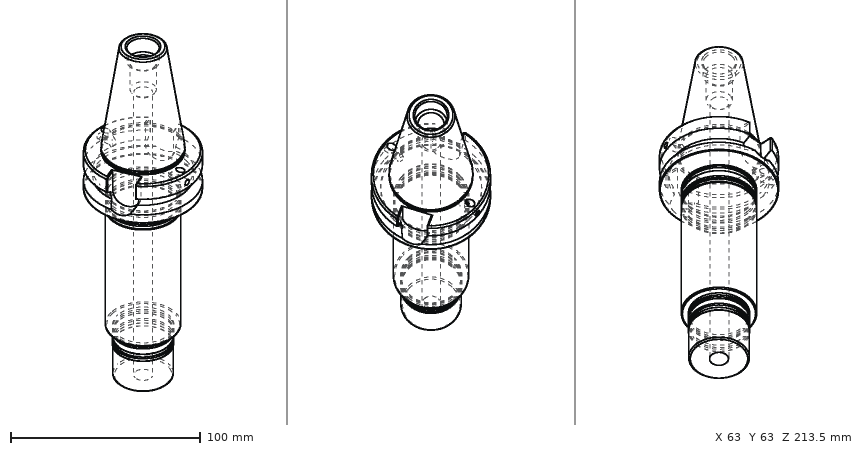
import cadquery as cq
import math

TOTAL_LENGTH = 213.5
GAUGE_Z = 148.0
FLANGE_TOP_Z = 146.0
FLANGE_BOTTOM_Z = 121.0
BODY_BOTTOM_Z = 32.5
SLEEVE_BOTTOM_Z = 20.3

TAPER_RATIO = 7 / 24
GAUGE_RADIUS = 44.4 / 2
TAPER_TOP_CHAMFER = 1.0
NECK_GROOVE_DEPTH = 0.6

FLANGE_RADIUS = 63.0 / 2
UPPER_RIM_CHAMFER = 1.0
LOWER_RIM_CHAMFER = 0.5
GROOVE_ROOT_RADIUS = 26.7
GROOVE_TOP_Z = 136.5
GROOVE_ROOT_TOP_Z = 133.5
GROOVE_ROOT_BOTTOM_Z = 129.3
GROOVE_BOTTOM_Z = 126.5

SLOT_ANGLES = (0.0, 180.0)
SLOT_WIDTH = 16.0
SLOT_FLOOR = 22.6
SLOT_EDGE_CHAMFER = 0.6
SLOT_BOTTOM_Z = 124.6

BODY_RADIUS = 40.0 / 2
BODY_CHAMFER = 0.6
SLEEVE_RADIUS = 32.5 / 2
NOSE_RADIUS = 32.0 / 2
NOSE_CHAMFER = 0.9

BODY_GROOVES = [(120.1, 116.7, 0.6), (113.0, 110.8, 0.6), (109.0, 108.5, 0.2)]
SLEEVE_GROOVES = [(31.0, 28.4, 0.6), (25.0, 22.0, 0.6)]

THROUGH_RADIUS = 10.0 / 2
THREAD_RADIUS = 13.9 / 2
THREAD_DEPTH = 27.7
COUNTERBORE_RADIUS = 17.0 / 2
COUNTERBORE_DEPTH = 9.5
THREAD_LEAD_IN = 0.9
MOUTH_RADIUS = 18.8 / 2

PORT_ANGLES = (160.0, -20.0)
PORT_DIAMETER = 3.8
PORT_CIRCLE_RADIUS = 26.7
PORT_TILT = 42.0
PORT_LENGTH = 9.0
PORT_OVERSHOOT = 2.1
CROSS_HOLE_DIAMETER = 3.2
CROSS_HOLE_Z = 140.2


def revolve_profile(points):
    """Revolve a closed (radius, z) outline around the Z axis."""
    return cq.Workplane("XZ").polyline(points).close().revolve(360, (0, 0), (0, 1))


def make_blank():
    taper_top_radius = GAUGE_RADIUS - (TOTAL_LENGTH - GAUGE_Z) * TAPER_RATIO / 2
    return revolve_profile([
        (0, 0),
        (NOSE_RADIUS - NOSE_CHAMFER, 0),
        (NOSE_RADIUS, NOSE_CHAMFER),
        (NOSE_RADIUS, SLEEVE_BOTTOM_Z),
        (SLEEVE_RADIUS, SLEEVE_BOTTOM_Z),
        (SLEEVE_RADIUS, BODY_BOTTOM_Z),
        (BODY_RADIUS - BODY_CHAMFER, BODY_BOTTOM_Z),
        (BODY_RADIUS, BODY_BOTTOM_Z + BODY_CHAMFER),
        (BODY_RADIUS, FLANGE_BOTTOM_Z),
        (FLANGE_RADIUS - LOWER_RIM_CHAMFER, FLANGE_BOTTOM_Z),
        (FLANGE_RADIUS, FLANGE_BOTTOM_Z + LOWER_RIM_CHAMFER),
        (FLANGE_RADIUS, GROOVE_BOTTOM_Z),
        (GROOVE_ROOT_RADIUS, GROOVE_ROOT_BOTTOM_Z),
        (GROOVE_ROOT_RADIUS, GROOVE_ROOT_TOP_Z),
        (FLANGE_RADIUS, GROOVE_TOP_Z),
        (FLANGE_RADIUS, FLANGE_TOP_Z - UPPER_RIM_CHAMFER),
        (FLANGE_RADIUS - UPPER_RIM_CHAMFER, FLANGE_TOP_Z),
        (GAUGE_RADIUS, FLANGE_TOP_Z),
        (GAUGE_RADIUS, GAUGE_Z - 2 * NECK_GROOVE_DEPTH),
        (GAUGE_RADIUS - NECK_GROOVE_DEPTH, GAUGE_Z - NECK_GROOVE_DEPTH),
        (GAUGE_RADIUS, GAUGE_Z),
        (taper_top_radius, TOTAL_LENGTH - TAPER_TOP_CHAMFER),
        (taper_top_radius - TAPER_TOP_CHAMFER, TOTAL_LENGTH),
        (0, TOTAL_LENGTH),
    ])


def ring_groove(surface_radius, top, bottom, depth):
    """Ring cutter for a groove with 45 degree sides and a flat root."""
    root = surface_radius - depth
    outside = surface_radius + depth
    return revolve_profile([
        (outside, bottom),
        (surface_radius, bottom),
        (root, bottom + depth),
        (root, top - depth),
        (surface_radius, top),
        (outside, top),
    ])


def make_bore():
    mouth_chamfer = MOUTH_RADIUS - COUNTERBORE_RADIUS
    counterbore_floor = TOTAL_LENGTH - COUNTERBORE_DEPTH
    thread_floor = TOTAL_LENGTH - THREAD_DEPTH
    cone_height = THREAD_RADIUS - THROUGH_RADIUS
    return revolve_profile([
        (0, 0),
        (THROUGH_RADIUS, 0),
        (THROUGH_RADIUS, thread_floor - cone_height),
        (THREAD_RADIUS, thread_floor),
        (THREAD_RADIUS, counterbore_floor - THREAD_LEAD_IN),
        (COUNTERBORE_RADIUS, counterbore_floor),
        (COUNTERBORE_RADIUS, TOTAL_LENGTH - mouth_chamfer),
        (MOUTH_RADIUS, TOTAL_LENGTH),
        (0, TOTAL_LENGTH),
    ])


def make_drive_slot(angle):
    """Round-ended slot through the rim, with chamfered edges in the upper flange."""
    half_width = SLOT_WIDTH / 2
    end_center_z = SLOT_BOTTOM_Z + half_width
    reach = FLANGE_RADIUS - SLOT_FLOOR
    flared_half_width = half_width + SLOT_EDGE_CHAMFER

    chamfer_start_z = FLANGE_TOP_Z - SLOT_EDGE_CHAMFER
    slot = (
        cq.Workplane("XZ", origin=(0, -SLOT_FLOOR, 0))
        .moveTo(-half_width, end_center_z)
        .threePointArc((0, SLOT_BOTTOM_Z), (half_width, end_center_z))
        .lineTo(half_width, chamfer_start_z)
        .lineTo(flared_half_width, FLANGE_TOP_Z)
        .lineTo(-flared_half_width, FLANGE_TOP_Z)
        .lineTo(-half_width, chamfer_start_z)
        .close()
        .extrude(reach)
    )

    rim_y = math.sqrt(FLANGE_RADIUS ** 2 - flared_half_width ** 2)
    flare_start_y = rim_y - SLOT_EDGE_CHAMFER
    flare = (
        cq.Workplane("XY", origin=(0, 0, GROOVE_ROOT_TOP_Z))
        .polyline([
            (-half_width, -flare_start_y),
            (half_width, -flare_start_y),
            (flared_half_width, -rim_y),
            (flared_half_width, -FLANGE_RADIUS),
            (-flared_half_width, -FLANGE_RADIUS),
            (-flared_half_width, -rim_y),
        ])
        .close()
        .extrude(FLANGE_TOP_Z - GROOVE_ROOT_TOP_Z)
    )
    return slot.union(flare).rotate((0, 0, 0), (0, 0, 1), angle)


def make_coolant_port(angle):
    """Inclined blind hole in the flange face and the radial hole that meets it."""
    tilt = math.radians(PORT_TILT)
    down = cq.Vector(-math.sin(tilt), 0, -math.cos(tilt))
    mouth = cq.Vector(PORT_CIRCLE_RADIUS, 0, FLANGE_TOP_Z)
    inclined = cq.Workplane(obj=cq.Solid.makeCylinder(
        PORT_DIAMETER / 2,
        PORT_LENGTH + PORT_OVERSHOOT,
        mouth - down * PORT_OVERSHOOT,
        down,
    ))
    meeting_radius = PORT_CIRCLE_RADIUS - (FLANGE_TOP_Z - CROSS_HOLE_Z) * math.tan(tilt)
    radial = (
        cq.Workplane("YZ", origin=(meeting_radius, 0, CROSS_HOLE_Z))
        .circle(CROSS_HOLE_DIAMETER / 2)
        .extrude(FLANGE_RADIUS - meeting_radius)
    )
    return inclined.union(radial).rotate((0, 0, 0), (0, 0, 1), angle)


result = make_blank().cut(make_bore())
for top, bottom, depth in BODY_GROOVES:
    result = result.cut(ring_groove(BODY_RADIUS, top, bottom, depth))
for top, bottom, depth in SLEEVE_GROOVES:
    result = result.cut(ring_groove(SLEEVE_RADIUS, top, bottom, depth))
for angle in SLOT_ANGLES:
    result = result.cut(make_drive_slot(angle))
for angle in PORT_ANGLES:
    result = result.cut(make_coolant_port(angle))